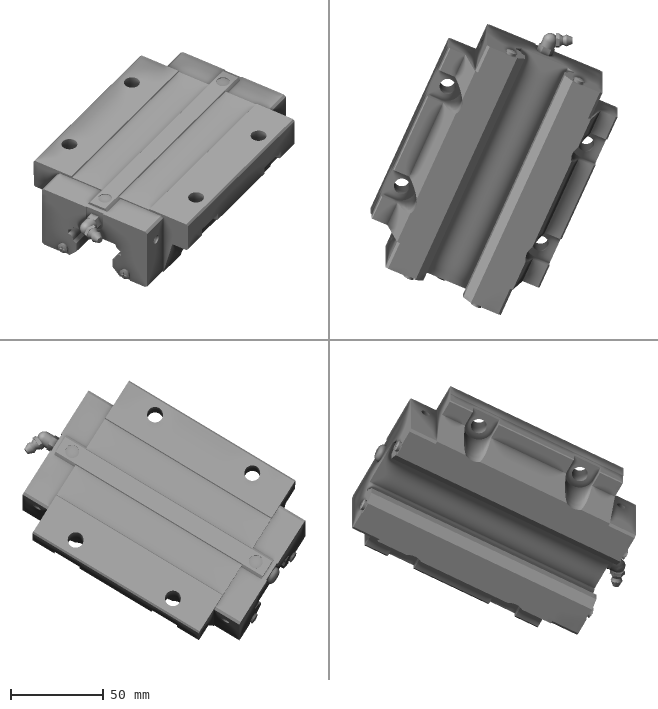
import cadquery as cq
import math


BODY_LENGTH = 106.0
HALF_WIDTH = 50.0
HEIGHT = 40.5
FLANGE_BOTTOM_Z = 22.4
FLANGE_CHAMFER = 1.0
SIDE_STEP = 0.5
SIDE_STEP_Z = 30.3
SKIRT_TOP_HALF = 40.0
SKIRT_BOTTOM_HALF = 34.2
RELIEF_DEPTH = 0.6
RELIEF_INNER_HALF = 4.9
RELIEF_OUTER_HALF = 25.3
RELIEF_SLOPE = 0.4

HOLE_X = 41.0
HOLE_Y = 31.0
HOLE_DIAMETER = 8.6
SPOT_DIAMETER = 16.2
SPOT_TOP_Z = 27.5

OPENING_TOP_Z = 21.4
OPENING_TOP_HALF = 13.7
GROOVE_HALF = 17.1
BALL_ROW_RADIUS = 3.4
LOWER_ROW_Z = 11.7
LIP_HALF = 11.8
LIP_TOP_Z = 10.3
LIP_BOTTOM_Z = 4.5
MOUTH_HALF = 16.4

CAP_LENGTH = 13.0
SEAL_THICKNESS = 3.0
CAP_HALF_WIDTH = 34.1
CAP_HEIGHT = 39.1
CAP_CHAMFER_WIDTH = 1.5
CAP_CHAMFER_HEIGHT = 1.0
RIDGE_TOP_HALF = 4.9
RIDGE_BOTTOM_HALF = 6.4
TOP_PORT_DIAMETER = 7.4
TOP_PORT_DEPTH = 0.5
TOP_PORT_Y = 58.5
SIDE_PORT_DIAMETER = 5.0
SIDE_PORT_DEPTH = 6.0
SIDE_PORT_Y = 60.0
SIDE_PORT_Z = 28.0

POCKET_DEPTH = 0.5
FITTING_Z = 31.6
FITTING_POCKET_RADIUS = 5.5
SCREW_X = 20.0
SCREW_Z = 3.8
SCREW_POCKET_RADIUS = 3.05

SCREW_BASE_RADIUS = 2.7
SCREW_RIM_RADIUS = 3.0
SCREW_RIM_HEIGHT = 1.7
SCREW_HEIGHT = 2.3
CROSS_LENGTH = 3.4
CROSS_WIDTH = 0.7
CROSS_DEPTH = 1.0

PLUG_RADIUS = 5.0
PLUG_END_Y = 71.8
PLUG_ROUNDING = 2.9

NIPPLE_HEX_CORNERS = 9.2
NIPPLE_HEX_END_Y = -72.3
ELBOW_RADIUS = 3.95
ELBOW_Y = -76.15
ARM_ANGLE = 22.5
COLLAR_CORNERS = 8.2
COLLAR_START = 3.1
COLLAR_END = 5.1
COLLAR_ROOT_RADIUS = 3.5
NECK_AT = 7.0
NECK_RADIUS = 2.4
BARB_AT = 8.9
BARB_RADIUS = 3.2
TIP_AT = 12.25
TIP_RADIUS = 1.75

BODY_END_Y = BODY_LENGTH / 2
CAP_END_Y = BODY_END_Y + CAP_LENGTH
SEAL_END_Y = CAP_END_Y + SEAL_THICKNESS
POCKET_FLOOR_Y = SEAL_END_Y - POCKET_DEPTH
BOTH = (-1, 1)


def section(start_y):
    """XZ sketch plane at start_y; negative extrusion runs towards +Y."""
    return cq.Workplane(cq.Plane(origin=(0, start_y, 0), xDir=(1, 0, 0), normal=(0, -1, 0)))


def extrude_y(points, start_y, end_y):
    return section(start_y).polyline(points).close().extrude(start_y - end_y)


def outward_plane(x, z, side):
    """Plane on the pocket floor of the seal on the given Y side, normal pointing outward."""
    origin = (x, side * POCKET_FLOOR_Y, z)
    return cq.Plane(origin=origin, xDir=(-side, 0, 0), normal=(0, side, 0))


def rail_opening():
    arc_offset = BALL_ROW_RADIUS * math.sqrt(0.5)
    upper_row_bottom = OPENING_TOP_Z - BALL_ROW_RADIUS
    lower_row_top = LOWER_ROW_Z + BALL_ROW_RADIUS
    arc_x = GROOVE_HALF - arc_offset
    upper_mid = (arc_x, OPENING_TOP_Z - arc_offset)
    lower_mid = (arc_x, LOWER_ROW_Z + arc_offset)
    half = (
        section(-SEAL_END_Y)
        .moveTo(0, OPENING_TOP_Z)
        .lineTo(OPENING_TOP_HALF, OPENING_TOP_Z)
        .threePointArc(upper_mid, (GROOVE_HALF, upper_row_bottom))
        .lineTo(GROOVE_HALF, lower_row_top)
        .threePointArc(lower_mid, (OPENING_TOP_HALF, LOWER_ROW_Z))
        .lineTo(LIP_HALF, LIP_TOP_Z)
        .lineTo(LIP_HALF, LIP_BOTTOM_Z)
        .lineTo(MOUTH_HALF, 0)
        .lineTo(0, 0)
        .close()
        .extrude(-2 * SEAL_END_Y)
    )
    return half.union(half.mirror("YZ"))


def body():
    chamfer = FLANGE_CHAMFER
    step_half = HALF_WIDTH - SIDE_STEP
    outline = [
        (-SKIRT_BOTTOM_HALF, 0),
        (SKIRT_BOTTOM_HALF, 0),
        (SKIRT_TOP_HALF, FLANGE_BOTTOM_Z),
        (HALF_WIDTH - chamfer, FLANGE_BOTTOM_Z),
        (HALF_WIDTH, FLANGE_BOTTOM_Z + chamfer),
        (HALF_WIDTH, HEIGHT - chamfer),
        (HALF_WIDTH - chamfer, HEIGHT),
        (chamfer - HALF_WIDTH, HEIGHT),
        (-HALF_WIDTH, HEIGHT - chamfer),
        (-HALF_WIDTH, SIDE_STEP_Z),
        (-step_half, SIDE_STEP_Z),
        (-step_half, FLANGE_BOTTOM_Z + SIDE_STEP),
        (SIDE_STEP - step_half, FLANGE_BOTTOM_Z),
        (-SKIRT_TOP_HALF, FLANGE_BOTTOM_Z),
    ]
    block = extrude_y(outline, -BODY_END_Y, BODY_END_Y)
    for side in BOTH:
        relief = [
            (side * RELIEF_INNER_HALF, HEIGHT),
            (side * (RELIEF_INNER_HALF + RELIEF_SLOPE), HEIGHT - RELIEF_DEPTH),
            (side * (RELIEF_OUTER_HALF - RELIEF_SLOPE), HEIGHT - RELIEF_DEPTH),
            (side * RELIEF_OUTER_HALF, HEIGHT),
        ]
        block = block.cut(extrude_y(relief, -BODY_END_Y, BODY_END_Y))
    for side_x in BOTH:
        for side_y in BOTH:
            block = block.cut(mounting_hole(side_x, side_y))
    return block


def mounting_hole(side_x, side_y):
    """Through hole with a spot face below that opens through the outer flange side."""
    base = cq.Workplane("XY").center(side_x * HOLE_X, side_y * HOLE_Y)
    hole = base.circle(HOLE_DIAMETER / 2).extrude(HEIGHT)
    spot_radius = SPOT_DIAMETER / 2
    mouth = side_x * (HALF_WIDTH - HOLE_X)
    spot = (
        base.moveTo(0, -spot_radius)
        .lineTo(mouth, -spot_radius)
        .lineTo(mouth, spot_radius)
        .lineTo(0, spot_radius)
        .threePointArc((-side_x * spot_radius, 0), (0, -spot_radius))
        .close()
        .extrude(SPOT_TOP_Z)
    )
    return hole.union(spot)


def cap_slab(start_y, end_y):
    flat_half = CAP_HALF_WIDTH - CAP_CHAMFER_WIDTH
    half_outline = [
        (flat_half, 0),
        (CAP_HALF_WIDTH, CAP_CHAMFER_HEIGHT),
        (CAP_HALF_WIDTH, CAP_HEIGHT - CAP_CHAMFER_HEIGHT),
        (flat_half, CAP_HEIGHT),
    ]
    mirrored = [(-x, z) for x, z in reversed(half_outline)]
    return extrude_y(half_outline + mirrored, start_y, end_y)


def end_cap(side):
    inner = side * BODY_END_Y
    outer = side * CAP_END_Y
    ridge = [
        (-RIDGE_BOTTOM_HALF, CAP_HEIGHT),
        (RIDGE_BOTTOM_HALF, CAP_HEIGHT),
        (RIDGE_TOP_HALF, HEIGHT),
        (-RIDGE_TOP_HALF, HEIGHT),
    ]
    cap = cap_slab(inner, outer).union(extrude_y(ridge, inner, outer))
    top_port = (
        cq.Workplane("XY", origin=(0, side * TOP_PORT_Y, HEIGHT))
        .circle(TOP_PORT_DIAMETER / 2)
        .extrude(-TOP_PORT_DEPTH)
    )
    cap = cap.cut(top_port)
    for side_x in BOTH:
        side_port = (
            cq.Workplane("YZ", origin=(side_x * CAP_HALF_WIDTH, side * SIDE_PORT_Y, SIDE_PORT_Z))
            .circle(SIDE_PORT_DIAMETER / 2)
            .extrude(-side_x * SIDE_PORT_DEPTH)
        )
        cap = cap.cut(side_port)
    return cap


def seal_pocket(x, z, radius, open_z, side):
    """Round-ended shallow pocket running from (x, z) to the seal edge at open_z."""
    face = cq.Workplane(outward_plane(x, z, side))
    run = open_z - z
    round_end = face.circle(radius).extrude(POCKET_DEPTH)
    channel = face.center(0, run / 2).rect(2 * radius, abs(run)).extrude(POCKET_DEPTH)
    return round_end.union(channel)


def end_seal(side):
    seal = cap_slab(side * CAP_END_Y, side * SEAL_END_Y)
    seal = seal.cut(seal_pocket(0, FITTING_Z, FITTING_POCKET_RADIUS, CAP_HEIGHT, side))
    for side_x in BOTH:
        seal = seal.cut(seal_pocket(side_x * SCREW_X, SCREW_Z, SCREW_POCKET_RADIUS, 0, side))
    return seal


def screw_head(x, side):
    dome_rise = SCREW_HEIGHT - SCREW_RIM_HEIGHT
    dome_radius = (SCREW_RIM_RADIUS**2 + dome_rise**2) / (2 * dome_rise)
    plane = outward_plane(x, SCREW_Z, side)
    head = (
        cq.Workplane(plane)
        .lineTo(SCREW_BASE_RADIUS, 0)
        .lineTo(SCREW_RIM_RADIUS, SCREW_RIM_HEIGHT)
        .radiusArc((0, SCREW_HEIGHT), -dome_radius)
        .close()
        .revolve(360, (0, 0), (0, 1))
    )
    head = head.rotate(plane.origin, plane.origin + plane.xDir, 90)
    top = cq.Workplane(plane).workplane(offset=SCREW_HEIGHT)
    for length, width in ((CROSS_LENGTH, CROSS_WIDTH), (CROSS_WIDTH, CROSS_LENGTH)):
        head = head.cut(top.rect(length, width).extrude(-CROSS_DEPTH))
    return head


def plug():
    return (
        cq.Workplane(outward_plane(0, FITTING_Z, 1))
        .circle(PLUG_RADIUS)
        .extrude(PLUG_END_Y - POCKET_FLOOR_Y)
        .faces(">Y")
        .edges()
        .fillet(PLUG_ROUNDING)
    )


def grease_nipple():
    base = cq.Workplane(outward_plane(0, FITTING_Z, -1))
    hexagon = base.polygon(6, NIPPLE_HEX_CORNERS).extrude(-NIPPLE_HEX_END_Y - POCKET_FLOOR_Y)
    stem = base.circle(ELBOW_RADIUS).extrude(-ELBOW_Y - POCKET_FLOOR_Y)
    elbow = cq.Workplane("XY").sphere(ELBOW_RADIUS).translate((0, ELBOW_Y, FITTING_Z))
    return hexagon.union(stem).union(elbow).union(nipple_arm())


def nipple_arm():
    """Barbed spout with a hexagonal collar, built along +X and then swung towards -Y."""
    profile = [
        (0, 0),
        (0, -NECK_RADIUS),
        (COLLAR_START, -NECK_RADIUS),
        (COLLAR_END, -COLLAR_ROOT_RADIUS),
        (NECK_AT, -NECK_RADIUS),
        (BARB_AT, -BARB_RADIUS),
        (TIP_AT, -TIP_RADIUS),
        (TIP_AT, 0),
    ]
    spout = cq.Workplane("XY").polyline(profile).close().revolve(360, (0, 0), (1, 0))
    collar = (
        cq.Workplane("YZ", origin=(COLLAR_START, 0, 0))
        .polygon(6, COLLAR_CORNERS)
        .extrude(COLLAR_END - COLLAR_START)
    )
    arm = spout.union(collar)
    return arm.rotate((0, 0, 0), (0, 0, 1), -ARM_ANGLE).translate((0, ELBOW_Y, FITTING_Z))


carriage = body()
for end in BOTH:
    carriage = carriage.union(end_cap(end), clean=False)
    carriage = carriage.union(end_seal(end), clean=False)
carriage = carriage.cut(rail_opening(), clean=False)
for end in BOTH:
    for screw_side in BOTH:
        carriage = carriage.union(screw_head(screw_side * SCREW_X, end), clean=False)
result = carriage.union(plug(), clean=False).union(grease_nipple(), clean=False)